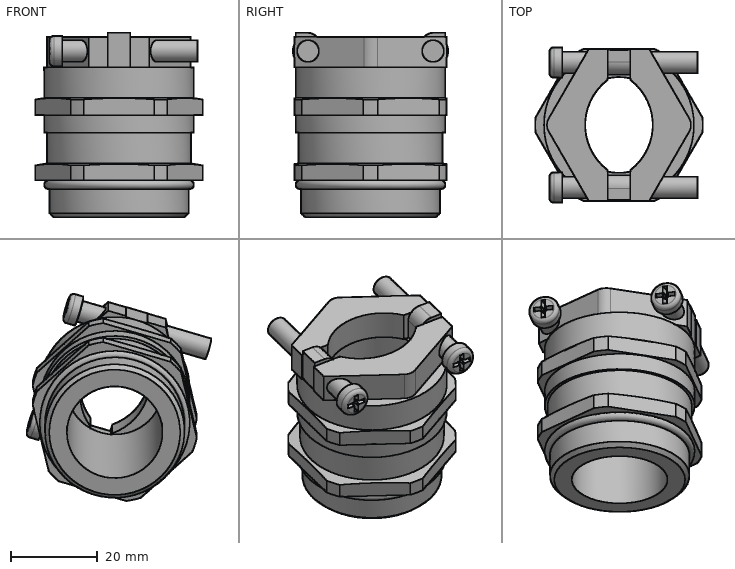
import cadquery as cq
import math

HEX_SIDES = 6
HEX_HALF_ANGLE = math.pi / HEX_SIDES

BORE_RADIUS = 11.0
THREAD_RADIUS = 16.05
THREAD_CHAMFER = 1.0
NECK_RADIUS = 16.6
SLEEVE_RADIUS = 17.25
SLEEVE_BOTTOM = 19.5
SLEEVE_TOP = 34.5

RING_SECTION_RADIUS = 1.0
RING_CENTER_RADIUS = SLEEVE_RADIUS - RING_SECTION_RADIUS

NUT_ACROSS_FLATS = 35.0
NUT_CORNER_RADIUS = 19.3
NUT_TOP_SLOPE = math.radians(10)
LOWER_NUT_BOTTOM = 8.5
LOWER_NUT_CORNER_HEIGHT = 3.45
UPPER_NUT_BOTTOM = 23.5
UPPER_NUT_CORNER_HEIGHT = 3.6

CLAMP_HEIGHT = 7.0
CLAMP_TOP = SLEEVE_TOP + CLAMP_HEIGHT
CLAMP_DEPTH = NUT_ACROSS_FLATS
CLAMP_HEX_ACROSS_FLATS = 29.5
CLAMP_CORNER_FILLET = 3.0
OPENING_HALF_WIDTH = 7.75
OPENING_ARC_RADIUS = 13.0

TAB_WIDTH = 5.2
TAB_TOP = CLAMP_TOP + 1.0
TAB_OUTER_Y = SLEEVE_RADIUS
TAB_INNER_Y = 11.55
TAB_ROUND_RADIUS = 3.0

SCREW_Y = 14.375
SCREW_Z = 38.25
SHANK_RADIUS = 2.5
SCREW_TIP_X = 18.1
HEAD_RADIUS = 3.5
HEAD_FACE_X = -16.0
HEAD_LENGTH = 3.0
HEAD_FILLET = 1.0

RECESS_DEPTH = 1.5
RECESS_ARM_LENGTH = 4.5
RECESS_ARM_FLOOR_LENGTH = 4.2
RECESS_ARM_WIDTH = 1.0
RECESS_CENTER_SIDE = 1.75
RECESS_CENTER_FLOOR_SIDE = 0.65


def cylinder(radius, bottom, top):
    return cq.Workplane("XY").workplane(offset=bottom).circle(radius).extrude(top - bottom)


def make_body():
    spigot = cylinder(THREAD_RADIUS, 0, LOWER_NUT_BOTTOM).faces("<Z").chamfer(THREAD_CHAMFER)
    neck = cylinder(NECK_RADIUS, LOWER_NUT_BOTTOM, SLEEVE_BOTTOM)
    sleeve = cylinder(SLEEVE_RADIUS, SLEEVE_BOTTOM, SLEEVE_TOP)
    return spigot.union(neck).union(sleeve)


def make_sealing_ring():
    """Ring with a half-round outer face, solid through to the axis."""
    center_z = LOWER_NUT_BOTTOM - RING_SECTION_RADIUS
    bottom_z = center_z - RING_SECTION_RADIUS
    return (
        cq.Workplane("XZ")
        .moveTo(0, bottom_z)
        .lineTo(RING_CENTER_RADIUS, bottom_z)
        .threePointArc((SLEEVE_RADIUS, center_z), (RING_CENTER_RADIUS, LOWER_NUT_BOTTOM))
        .lineTo(0, LOWER_NUT_BOTTOM)
        .close()
        .revolve(360, (0, 0), (0, 1))
    )


def make_nut(bottom, corner_height):
    corner_z = bottom + corner_height
    apex_z = corner_z + NUT_CORNER_RADIUS * math.tan(NUT_TOP_SLOPE)
    conical_blank = (
        cq.Workplane("XZ")
        .moveTo(0, bottom)
        .lineTo(NUT_CORNER_RADIUS, bottom)
        .lineTo(NUT_CORNER_RADIUS, corner_z)
        .lineTo(0, apex_z)
        .close()
        .revolve(360, (0, 0), (0, 1))
    )
    hexagon = (
        cq.Workplane("XY")
        .workplane(offset=bottom)
        .polygon(HEX_SIDES, NUT_ACROSS_FLATS / math.cos(HEX_HALF_ANGLE))
        .extrude(apex_z - bottom)
    )
    return hexagon.intersect(conical_blank)


def make_clamp():
    vertex_x = CLAMP_HEX_ACROSS_FLATS / 2 / math.cos(HEX_HALF_ANGLE)
    half_depth = CLAMP_DEPTH / 2
    flat_half_width = vertex_x - half_depth * math.tan(HEX_HALF_ANGLE)
    jaws = (
        cq.Workplane("XY")
        .workplane(offset=SLEEVE_TOP)
        .polyline([
            (vertex_x, 0),
            (flat_half_width, half_depth),
            (-flat_half_width, half_depth),
            (-vertex_x, 0),
            (-flat_half_width, -half_depth),
            (flat_half_width, -half_depth),
        ])
        .close()
        .extrude(CLAMP_HEIGHT)
    )
    jaws = jaws.edges("|Z and (<X or >X)").fillet(CLAMP_CORNER_FILLET)
    gap = cq.Workplane("XY").box(TAB_WIDTH, CLAMP_DEPTH, CLAMP_HEIGHT, centered=(True, True, False))
    return jaws.cut(gap.translate((0, 0, SLEEVE_TOP))).cut(make_opening())


def make_opening():
    arc_offset = OPENING_ARC_RADIUS - OPENING_HALF_WIDTH
    tip_y = math.sqrt(OPENING_ARC_RADIUS**2 - arc_offset**2)
    return (
        cq.Workplane("XY")
        .workplane(offset=SLEEVE_TOP)
        .moveTo(0, -tip_y)
        .threePointArc((OPENING_HALF_WIDTH, 0), (0, tip_y))
        .threePointArc((-OPENING_HALF_WIDTH, 0), (0, -tip_y))
        .close()
        .extrude(CLAMP_HEIGHT)
    )


def make_tab():
    """Tab on the +Y side, with its inner top edge rounded."""
    tab = cq.Workplane("XY").box(
        TAB_WIDTH, TAB_OUTER_Y - TAB_INNER_Y, TAB_TOP - SLEEVE_TOP, centered=(True, False, False)
    )
    tab = tab.edges("|X and <Y and >Z").fillet(TAB_ROUND_RADIUS)
    return tab.translate((0, TAB_INNER_Y, SLEEVE_TOP))


def make_recess():
    """Cross recess opening at z = 0 and narrowing downwards: two V-grooves and a central pit."""
    floor_start = (RECESS_ARM_LENGTH - RECESS_ARM_FLOOR_LENGTH) / 2
    middle = RECESS_ARM_WIDTH / 2
    groove = cq.Workplane("XY").add(
        cq.Solid.makeWedge(
            RECESS_ARM_LENGTH, RECESS_DEPTH, RECESS_ARM_WIDTH,
            floor_start, middle, RECESS_ARM_LENGTH - floor_start, middle,
        )
    )
    groove = groove.translate((-RECESS_ARM_LENGTH / 2, 0, -middle))
    groove = groove.rotate((0, 0, 0), (1, 0, 0), -90)
    pit = (
        cq.Workplane("XY")
        .rect(RECESS_CENTER_SIDE, RECESS_CENTER_SIDE)
        .workplane(offset=-RECESS_DEPTH)
        .rect(RECESS_CENTER_FLOOR_SIDE, RECESS_CENTER_FLOOR_SIDE)
        .loft()
        .rotate((0, 0, 0), (0, 0, 1), 45)
    )
    crossing_groove = groove.rotate((0, 0, 0), (0, 0, 1), 90)
    return pit.union(groove).union(crossing_groove)


def make_screw():
    """Screw built along Z with its head face at z = 0, then laid along X."""
    head = cylinder(HEAD_RADIUS, -HEAD_LENGTH, 0).faces(">Z").edges().fillet(HEAD_FILLET)
    shank = cylinder(SHANK_RADIUS, HEAD_FACE_X - SCREW_TIP_X, -HEAD_LENGTH)
    screw = head.union(shank).cut(make_recess())
    return screw.rotate((0, 0, 0), (0, 1, 0), -90).translate((HEAD_FACE_X, SCREW_Y, SCREW_Z))


gland = (
    make_body()
    .union(make_sealing_ring())
    .union(make_nut(LOWER_NUT_BOTTOM, LOWER_NUT_CORNER_HEIGHT))
    .union(make_nut(UPPER_NUT_BOTTOM, UPPER_NUT_CORNER_HEIGHT))
    .cut(cylinder(BORE_RADIUS, 0, SLEEVE_TOP))
    .union(make_clamp())
)

tab = make_tab()
for turn in (0, 180):
    gland = gland.union(tab.rotate((0, 0, 0), (0, 0, 1), turn))

screw = make_screw()
for shift_y in (0, -2 * SCREW_Y):
    gland = gland.union(screw.translate((0, shift_y, 0)))

result = gland